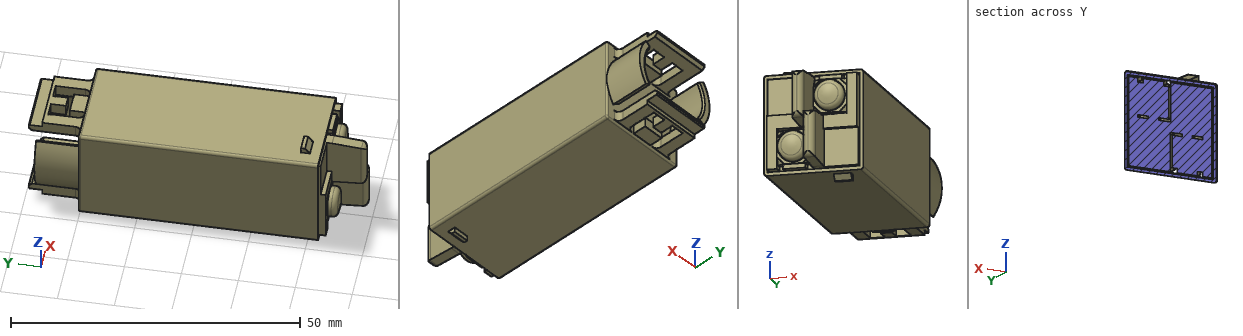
import cadquery as cq
import math

OVERLAP = 0.6

TOTAL_LENGTH = 58.6
TOTAL_HEIGHT = 19.9

CASE_WIDTH = 17.9
CASE_LENGTH = 42.1
CASE_EDGE_RADIUS = 0.5
CASE_REAR_RADIUS = 0.35
CASE_WALL = 0.65
RIM_GAP = 0.2
RIM_GAP_DEPTH = 0.6

INSERT_HALF = CASE_WIDTH / 2 - CASE_WALL - RIM_GAP
LOW_FACE = 0.35
HIGH_FACE = 1.25
PLATEAU_STEP_Z = 1.45

TIP_REACH = 7.25
BARRIER_THICKNESS = 2.05
BARRIER_INNER_Z = -0.9
BARRIER_TAPER = 0.45
BARRIER_TIP_RADIUS = 1.0

POCKET_LEFT = -6.25
POCKET_TOP = -1.0
POCKET_FLOOR = 0.6
SCREW_X = -3.3
SCREW_Z = -4.35
PLATE_SIZE = 6.0
PLATE_FACE = 1.1
PLATE_CORNER = 1.3
PLATE_BEVEL_ANGLE = 55
LEDGE_FACE = 0.8
LOWER_LEDGE_WIDTH = 4.05
UPPER_LEDGE_WIDTH = 2.1
HEAD_RADIUS = 2.7
HEAD_SHOULDER = 1.75
DOME_RADIUS = 1.9
DOME_START = 2.75
DOME_TIP = 3.05

NUB_LEFT = -6.15
NUB_WIDTH = 3.1
NUB_REAR = 3.45
NUB_FLAT = 0.7
NUB_LENGTH = 1.6

REAR_END = TOTAL_LENGTH - TIP_REACH
ARM_HALF_WIDTH = 6.0
ARM_BOTTOM = 6.25
ARM_TOP = 8.4
ARM_STEP_Y = 48.95
ARM_LIP_TOP = 7.5
ARM_LEAD_IN = 0.6
ARM_LIP_CHAMFER = 0.25
ARM_ROOT_RADIUS = 1.05
ARM_ROOT_HALF_WIDTH = 7.3
WINDOW_HALF_WIDTH = 3.65
WINDOW_REAR = 48.3
TAB_WIDTH = 2.05
TAB_LENGTH = 2.65
STUB_WIDTH = 4.15
STUB_LENGTH = 2.7

GUARD_OUTER_RADIUS = 8.85
GUARD_INNER_RADIUS = 7.3
GUARD_HALF_HEIGHT = 5.05
GUARD_LENGTH = 7.75
GUARD_CHAMFER = 0.35


def box(x_range, y_range, z_range):
    """Box spanning the given (low, high) ranges."""
    low, high = zip(x_range, y_range, z_range)
    size = [b - a for a, b in zip(low, high)]
    return cq.Workplane("XY").box(*size, centered=False).translate(low)


def half_turn(shape):
    """The shape turned half way round the part axis."""
    return shape.rotate((0, 0, 0), (0, 1, 0), 180)


def case():
    half = CASE_WIDTH / 2
    body = box((-half, half), (0, CASE_LENGTH), (-half, half))
    body = body.edges("|Y").fillet(CASE_EDGE_RADIUS)
    body = body.faces(">Y").edges().fillet(CASE_REAR_RADIUS)
    opening = half - CASE_WALL
    recess = box((-opening, opening), (0, RIM_GAP_DEPTH), (-opening, opening))
    return body.cut(recess)


def insert_half():
    """Left half of the front insert, with its terminal pocket cut out."""
    left = (-INSERT_HALF, 0)
    rear = RIM_GAP_DEPTH + OVERLAP
    block = box(left, (-LOW_FACE, rear), (-INSERT_HALF, INSERT_HALF))
    raised = box(left, (-HIGH_FACE, rear), (-INSERT_HALF, PLATEAU_STEP_Z))
    pocket = box((POCKET_LEFT, 0), (-HIGH_FACE, POCKET_FLOOR), (-INSERT_HALF, POCKET_TOP))
    return block.union(raised).cut(pocket)


def barrier():
    """Upper barrier, standing left of the axis, with tapered ends and a rounded tip."""
    outline = [
        (OVERLAP, BARRIER_INNER_Z),
        (-HIGH_FACE, BARRIER_INNER_Z),
        (-TIP_REACH, BARRIER_INNER_Z + BARRIER_TAPER),
        (-TIP_REACH, INSERT_HALF - BARRIER_TAPER),
        (-HIGH_FACE, INSERT_HALF),
        (OVERLAP, INSERT_HALF),
    ]
    wall = cq.Workplane("YZ").polyline(outline).close().extrude(-BARRIER_THICKNESS)
    return wall.faces("<Y").edges().fillet(BARRIER_TIP_RADIUS)


def clamp_plate():
    """Square plate with bevelled corners, between two ledges in the pocket."""
    half = PLATE_SIZE / 2
    plate = box((-half, half), (-PLATE_FACE, POCKET_FLOOR), (-half, half))
    front_width = math.sqrt(2) * (PLATE_SIZE - PLATE_CORNER)
    bevels = (
        cq.Workplane("XZ", origin=(0, -PLATE_FACE, 0))
        .transformed(rotate=(0, 0, 45))
        .rect(front_width, front_width)
        .extrude(-(PLATE_FACE + POCKET_FLOOR), taper=-PLATE_BEVEL_ANGLE)
    )
    plate = plate.intersect(bevels).translate((SCREW_X, 0, SCREW_Z))
    ledge_y = (-LEDGE_FACE, POCKET_FLOOR)
    for width, z_range in (
        (LOWER_LEDGE_WIDTH, (-INSERT_HALF, SCREW_Z)),
        (UPPER_LEDGE_WIDTH, (SCREW_Z, POCKET_TOP)),
    ):
        plate = plate.union(box((SCREW_X - width / 2, SCREW_X + width / 2), ledge_y, z_range))
    return plate


def screw_head():
    """Round head with a rolled edge and a shallow dome."""
    edge_mid_x = DOME_RADIUS + (HEAD_RADIUS - DOME_RADIUS) * math.cos(math.pi / 4)
    edge_mid_y = HEAD_SHOULDER + (DOME_START - HEAD_SHOULDER) * math.sin(math.pi / 4)
    dome_height = DOME_TIP - DOME_START
    dome_curvature_radius = (DOME_RADIUS**2 + dome_height**2) / (2 * dome_height)
    head = (
        cq.Workplane("XY")
        .lineTo(HEAD_RADIUS, 0)
        .lineTo(HEAD_RADIUS, -HEAD_SHOULDER)
        .threePointArc((edge_mid_x, -edge_mid_y), (DOME_RADIUS, -DOME_START))
        .radiusArc((0, -DOME_TIP), dome_curvature_radius)
        .close()
        .revolve(360, (0, 0, 0), (0, 1, 0))
    )
    return head.translate((SCREW_X, 0, SCREW_Z))


def nub():
    """Snap wedge on the top face, sloping down toward the front."""
    base = CASE_WIDTH / 2
    top = TOTAL_HEIGHT / 2
    outline = [
        (NUB_REAR, base - OVERLAP),
        (NUB_REAR, top),
        (NUB_REAR - NUB_FLAT, top),
        (NUB_REAR - NUB_LENGTH, base),
        (NUB_REAR - NUB_LENGTH, base - OVERLAP),
    ]
    left_side = cq.Workplane("YZ", origin=(NUB_LEFT, 0, 0))
    return left_side.polyline(outline).close().extrude(NUB_WIDTH)


def latch_arm():
    """Upper latch arm with a stepped lip, a window, and a tab facing a stub."""
    side = [
        (CASE_LENGTH, ARM_BOTTOM),
        (REAR_END - ARM_LEAD_IN, ARM_BOTTOM),
        (REAR_END, ARM_BOTTOM + ARM_LEAD_IN),
        (REAR_END, ARM_LIP_TOP - ARM_LIP_CHAMFER),
        (REAR_END - ARM_LIP_CHAMFER, ARM_LIP_TOP),
        (ARM_STEP_Y, ARM_LIP_TOP),
        (ARM_STEP_Y, ARM_TOP),
        (CASE_LENGTH, ARM_TOP),
    ]
    arm = cq.Workplane("YZ").polyline(side).close().extrude(ARM_HALF_WIDTH, both=True)
    thickness = (ARM_BOTTOM, ARM_TOP)
    window = (-WINDOW_HALF_WIDTH, WINDOW_HALF_WIDTH)
    arm = arm.cut(box(window, (CASE_LENGTH, WINDOW_REAR), thickness))

    root_x = (-ARM_ROOT_HALF_WIDTH, ARM_ROOT_HALF_WIDTH)
    root_y = (CASE_LENGTH - OVERLAP, CASE_LENGTH)
    arm = arm.union(box(root_x, root_y, thickness))
    inner_corners = cq.selectors.BoxSelector(
        (-ARM_HALF_WIDTH - OVERLAP, CASE_LENGTH - OVERLAP / 2, 0),
        (ARM_HALF_WIDTH + OVERLAP, CASE_LENGTH + OVERLAP / 2, ARM_TOP),
    )
    arm = arm.edges("|Z").edges(inner_corners).fillet(ARM_ROOT_RADIUS)

    tab_y = (WINDOW_REAR - TAB_LENGTH, WINDOW_REAR)
    stub_y = (CASE_LENGTH - OVERLAP, CASE_LENGTH + STUB_LENGTH)
    arm = arm.union(box((-TAB_WIDTH / 2, TAB_WIDTH / 2), tab_y, thickness))
    return arm.union(box((-STUB_WIDTH / 2, STUB_WIDTH / 2), stub_y, thickness))


def guard():
    """Left guard: a sector of a tube with radial ends and a chamfered inner rim."""
    half_angle = math.degrees(math.asin(GUARD_HALF_HEIGHT / GUARD_OUTER_RADIUS))
    rear = CASE_LENGTH + GUARD_LENGTH
    outline = [
        (-GUARD_OUTER_RADIUS, CASE_LENGTH - OVERLAP),
        (-GUARD_OUTER_RADIUS, rear),
        (-GUARD_INNER_RADIUS - GUARD_CHAMFER, rear),
        (-GUARD_INNER_RADIUS, rear - GUARD_CHAMFER),
        (-GUARD_INNER_RADIUS, CASE_LENGTH - OVERLAP),
    ]
    sector = cq.Workplane("XY").polyline(outline).close().revolve(2 * half_angle, (0, 0, 0), (0, 1, 0))
    return sector.rotate((0, 0, 0), (0, 1, 0), -half_angle)


result = case()
for make in (insert_half, barrier, clamp_plate, screw_head, nub, latch_arm, guard):
    feature = make()
    result = result.union(feature).union(half_turn(feature))